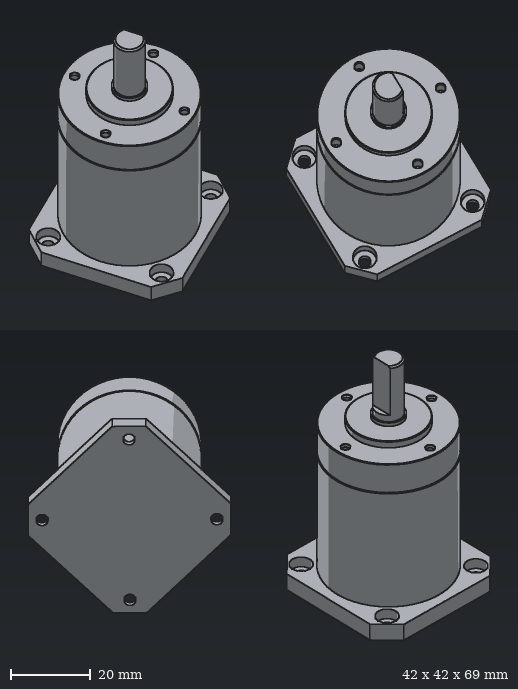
import cadquery as cq


FLANGE_SIDE = 42.0
FLANGE_THICKNESS = 5.0
FLANGE_CORNER_CUT = 6.0
MOUNT_HOLE_SPACING = 31.0
MOUNT_HOLE_DIAMETER = 3.0
COUNTERBORE_DIAMETER = 6.0
COUNTERBORE_DEPTH = 3.0

BARREL_DIAMETER = 36.0
BARREL_TOP = 40.1
HEAD_TOP = 49.0
EDGE_CHAMFER = 0.2

BOSS_DIAMETER = 21.9
BOSS_TOP = 51.0

FACE_HOLE_COUNT = 4
FACE_HOLE_CIRCLE_DIAMETER = 30.0
FACE_HOLE_DIAMETER = 2.5
FACE_HOLE_DEPTH = 5.0
GROOVE_DIAMETER = 3.3
GROOVE_LIP_DEPTH = 0.15
GROOVE_WIDTH = 0.8

OVERALL_HEIGHT = 69.0
COLLAR_DIAMETER = 9.0
COLLAR_TOP = 52.0
SHAFT_DIAMETER = 8.0
SHAFT_CHAMFER = 0.5
FLAT_OFFSET = 2.5
FLAT_BOTTOM = 54.0


def disc(diameter, bottom, top):
    """Upright cylinder on the Z axis between two heights."""
    return cq.Workplane("XY").workplane(offset=bottom).circle(diameter / 2).extrude(top - bottom)


def make_flange():
    """Square plate with cut corners and four counterbored mounting holes."""
    return (
        cq.Workplane("XY")
        .rect(FLANGE_SIDE, FLANGE_SIDE)
        .extrude(FLANGE_THICKNESS)
        .edges("|Z")
        .chamfer(FLANGE_CORNER_CUT)
        .faces(">Z")
        .workplane()
        .rect(MOUNT_HOLE_SPACING, MOUNT_HOLE_SPACING, forConstruction=True)
        .vertices()
        .cboreHole(MOUNT_HOLE_DIAMETER, COUNTERBORE_DIAMETER, COUNTERBORE_DEPTH)
    )


def make_housing():
    """Flange and barrel in one piece, with the barrel's top rim chamfered."""
    barrel = disc(BARREL_DIAMETER, FLANGE_THICKNESS, BARREL_TOP).faces(">Z").edges().chamfer(EDGE_CHAMFER)
    return make_flange().union(barrel)


def make_face_hole_cutter():
    """Blind hole shape, mouth at the origin, with one V-groove just under its rim."""
    hole_radius = FACE_HOLE_DIAMETER / 2
    return (
        cq.Workplane("XZ")
        .lineTo(hole_radius, 0)
        .lineTo(hole_radius, -GROOVE_LIP_DEPTH)
        .lineTo(GROOVE_DIAMETER / 2, -GROOVE_LIP_DEPTH - GROOVE_WIDTH / 2)
        .lineTo(hole_radius, -GROOVE_LIP_DEPTH - GROOVE_WIDTH)
        .lineTo(hole_radius, -FACE_HOLE_DEPTH)
        .lineTo(0, -FACE_HOLE_DEPTH)
        .close()
        .revolve(360, (0, 0, 0), (0, 1, 0))
        .val()
    )


def make_head():
    """Chamfered disc with a pilot boss and a circle of grooved blind holes in its face."""
    rim_disc = disc(BARREL_DIAMETER, BARREL_TOP, HEAD_TOP).edges().chamfer(EDGE_CHAMFER)
    boss = disc(BOSS_DIAMETER, HEAD_TOP, BOSS_TOP).faces(">Z").edges().chamfer(EDGE_CHAMFER)
    cutter = make_face_hole_cutter()
    face_holes = (
        cq.Workplane("XY")
        .workplane(offset=HEAD_TOP)
        .polarArray(FACE_HOLE_CIRCLE_DIAMETER / 2, 0, 360, FACE_HOLE_COUNT)
        .eachpoint(lambda place: cutter.moved(place))
    )
    return rim_disc.union(boss).cut(face_holes)


def make_shaft():
    """Collared D-shaft standing on the boss, with its flat facing +Y."""
    collar = disc(COLLAR_DIAMETER, BOSS_TOP, COLLAR_TOP)
    rod = disc(SHAFT_DIAMETER, COLLAR_TOP, OVERALL_HEIGHT).faces(">Z").edges().chamfer(SHAFT_CHAMFER)
    beyond_flat = (
        cq.Workplane("XY")
        .box(SHAFT_DIAMETER, SHAFT_DIAMETER, OVERALL_HEIGHT - FLAT_BOTTOM, centered=(True, False, False))
        .translate((0, FLAT_OFFSET, FLAT_BOTTOM))
    )
    return collar.union(rod.cut(beyond_flat))


housing = make_housing()
head = make_head()
shaft = make_shaft()

result = cq.Compound.makeCompound([housing.solids().val(), head.solids().val(), shaft.solids().val()])